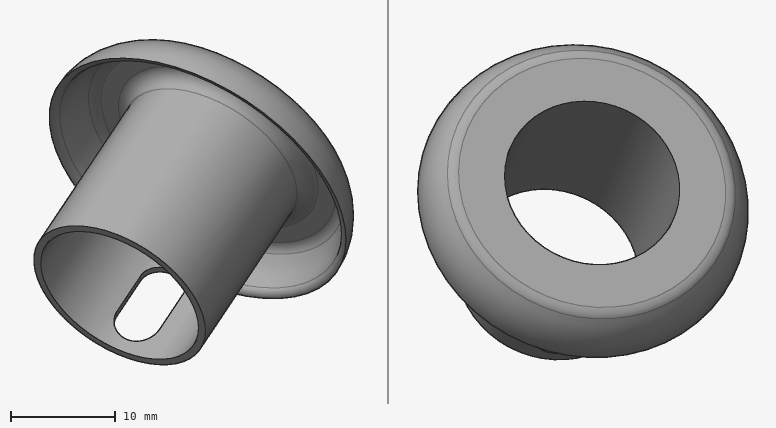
import cadquery as cq
import math

BORE_DIAMETER = 17.0
TUBE_DIAMETER = 18.5
TUBE_LENGTH = 16.0
WALL = (TUBE_DIAMETER - BORE_DIAMETER) / 2

FLANGE_DIAMETER = 32.0
FLANGE_HEIGHT = 5.0
DOME_RADIUS = 6.25
SHOULDER_RADIUS = 1.5
CAVITY_DEPTH = FLANGE_HEIGHT - WALL
RIM_LIP_RADIUS = 0.75
ROOT_RADIUS = 1.5

SLOT_LENGTH = 9.5
SLOT_WIDTH = 4.6
SLOT_CENTRE_FROM_END = 6.25

BORE_RADIUS = BORE_DIAMETER / 2
TUBE_RADIUS = TUBE_DIAMETER / 2
RIM_RADIUS = FLANGE_DIAMETER / 2
DOME_CENTRE = RIM_RADIUS - DOME_RADIUS


def polar_point(centre, radius, angle):
    """Point at the given radius and angle (radians from the +X direction) about a centre."""
    return (centre[0] + radius * math.cos(angle), centre[1] + radius * math.sin(angle))


def dome_section(arc_radius, height, start_angle):
    """Points of a dome arc, centred in the rim plane, that runs through a tangent shoulder
    into a flat at the given height: dome start, middle and end, shoulder middle and end."""
    blend_angle = math.asin((height - SHOULDER_RADIUS) / (arc_radius - SHOULDER_RADIUS))
    dome_centre = (DOME_CENTRE, 0)
    shoulder_centre = polar_point(dome_centre, arc_radius - SHOULDER_RADIUS, blend_angle)
    return (
        polar_point(dome_centre, arc_radius, start_angle),
        polar_point(dome_centre, arc_radius, (start_angle + blend_angle) / 2),
        polar_point(dome_centre, arc_radius, blend_angle),
        polar_point(shoulder_centre, SHOULDER_RADIUS, (blend_angle + math.pi / 2) / 2),
        polar_point(shoulder_centre, SHOULDER_RADIUS, math.pi / 2),
    )


def make_body():
    """Tube and domed flange, revolved about the Y axis as one thin-walled section."""
    inner_dome_radius = DOME_RADIUS - WALL
    lip_distance = inner_dome_radius + RIM_LIP_RADIUS
    lip_angle = math.asin(RIM_LIP_RADIUS / lip_distance)
    lip_centre = polar_point((DOME_CENTRE, 0), lip_distance, lip_angle)
    lip_start_angle = math.pi + lip_angle
    lip_end_angle = 1.5 * math.pi
    lip_middle_angle = (lip_start_angle + lip_end_angle) / 2

    outer = dome_section(DOME_RADIUS, FLANGE_HEIGHT, 0)
    inner = dome_section(inner_dome_radius, CAVITY_DEPTH, lip_angle)
    root_centre = (TUBE_RADIUS + ROOT_RADIUS, CAVITY_DEPTH - ROOT_RADIUS)
    section = (
        cq.Workplane("XY")
        .moveTo(BORE_RADIUS, -TUBE_LENGTH)
        .lineTo(TUBE_RADIUS, -TUBE_LENGTH)
        .lineTo(TUBE_RADIUS, root_centre[1])
        .threePointArc(
            polar_point(root_centre, ROOT_RADIUS, 0.75 * math.pi),
            (root_centre[0], CAVITY_DEPTH),
        )
        .lineTo(*inner[4])
        .threePointArc(inner[3], inner[2])
        .threePointArc(inner[1], inner[0])
        .threePointArc(
            polar_point(lip_centre, RIM_LIP_RADIUS, lip_middle_angle),
            (lip_centre[0], 0),
        )
        .lineTo(*outer[0])
        .threePointArc(outer[1], outer[2])
        .threePointArc(outer[3], outer[4])
        .lineTo(BORE_RADIUS, FLANGE_HEIGHT)
        .close()
    )
    return section.revolve(360, (0, 0, 0), (0, 1, 0))


def make_slot_cutter():
    """Round-ended prism that reaches from the tube axis down through the lower wall."""
    return (
        cq.Workplane("XY")
        .center(0, SLOT_CENTRE_FROM_END - TUBE_LENGTH)
        .slot2D(SLOT_LENGTH, SLOT_WIDTH, 90)
        .extrude(-TUBE_DIAMETER)
    )


result = make_body().cut(make_slot_cutter())